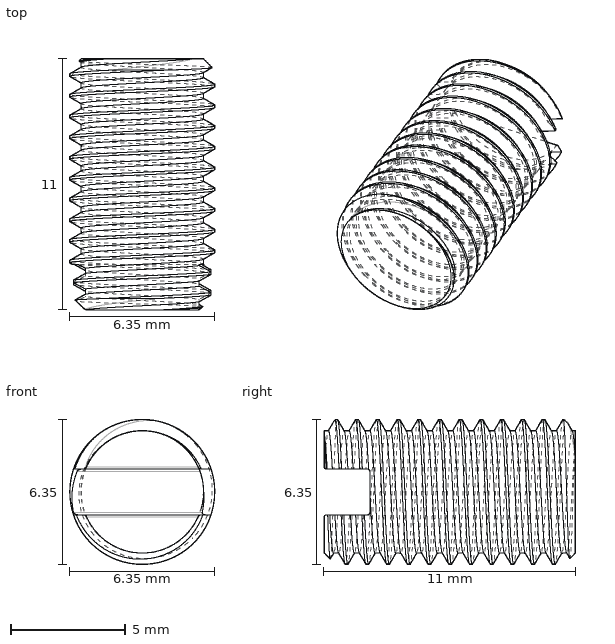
import cadquery as cq
import math

LENGTH = 11.0

INCH = 25.4
MAJOR_RADIUS = INCH / 4 / 2
PITCH = INCH / 28
FLANK_HALF_ANGLE = math.radians(30)
SHARP_V_HEIGHT = PITCH / (2 * math.tan(FLANK_HALF_ANGLE))
THREAD_DEPTH = 5 / 8 * SHARP_V_HEIGHT
MINOR_RADIUS = MAJOR_RADIUS - THREAD_DEPTH
ROOT_WIDTH = PITCH / 4
FIRST_CREST_Y = 0.077

END_CHAMFER = 0.5
END_FACE_RADIUS = MAJOR_RADIUS - END_CHAMFER

GROOVE_CLEARANCE = 0.05
GROOVE_EXTRA_TURNS = 2
BAR_OVERHANG = 4 * PITCH
TRIM_CLEARANCE = 1.0

SLOT_WIDTH = 2.0
SLOT_DEPTH = 2.0
SLOT_FLOOR_FILLET = 0.1
SLOT_MOUTH_FILLET = 0.1


def make_groove():
    """Helical thread groove that runs past both ends of the screw and past the major diameter."""
    outer = MAJOR_RADIUS + GROOVE_CLEARANCE
    outer_half = ROOT_WIDTH / 2 + (outer - MINOR_RADIUS) * math.tan(FLANK_HALF_ANGLE)
    turns = math.ceil(LENGTH / PITCH) + 2 * GROOVE_EXTRA_TURNS

    helix = cq.Wire.makeHelix(PITCH, turns * PITCH, MAJOR_RADIUS)
    groove = (
        cq.Workplane("XZ")
        .moveTo(MINOR_RADIUS, -ROOT_WIDTH / 2)
        .lineTo(outer, -outer_half)
        .lineTo(outer, outer_half)
        .lineTo(MINOR_RADIUS, ROOT_WIDTH / 2)
        .close()
        .sweep(cq.Workplane(obj=helix), isFrenet=True)
        .rotate((0, 0, 0), (0, 0, 1), 90)
        .rotate((0, 0, 0), (1, 0, 0), -90)
    )
    root_y = FIRST_CREST_Y + PITCH / 2
    return groove.translate((0, root_y - GROOVE_EXTRA_TURNS * PITCH, 0))


def make_threaded_rod():
    """Threaded rod cut to length from a longer bar, in which the groove starts and ends."""
    bar_length = LENGTH + 2 * BAR_OVERHANG
    bar = cq.Workplane("XZ", origin=(0, -BAR_OVERHANG, 0)).circle(MAJOR_RADIUS).extrude(-bar_length)
    trim = cq.Workplane("XZ").circle(MAJOR_RADIUS + TRIM_CLEARANCE).extrude(-LENGTH)
    return bar.cut(make_groove()).intersect(trim)


def make_chamfer_cutter():
    """Ring that leaves a 45 degree cone on the end face at Y = 0."""
    outer = MAJOR_RADIUS + TRIM_CLEARANCE
    leg = outer - END_FACE_RADIUS
    return (
        cq.Workplane("XY")
        .moveTo(END_FACE_RADIUS, 0)
        .lineTo(outer, 0)
        .lineTo(outer, leg)
        .close()
        .revolve(360, (0, 0, 0), (0, 1, 0))
    )


def make_slot():
    """Rectangular driver slot with a rounded floor and a rounded mouth."""
    half = SLOT_WIDTH / 2
    mouth_half = half + SLOT_MOUTH_FILLET
    floor_half = half - SLOT_FLOOR_FILLET
    wall_end = SLOT_DEPTH - SLOT_FLOOR_FILLET
    return (
        cq.Workplane("YZ", origin=(-MAJOR_RADIUS, 0, 0))
        .moveTo(0, mouth_half)
        .radiusArc((SLOT_MOUTH_FILLET, half), -SLOT_MOUTH_FILLET)
        .lineTo(wall_end, half)
        .radiusArc((SLOT_DEPTH, floor_half), SLOT_FLOOR_FILLET)
        .lineTo(SLOT_DEPTH, -floor_half)
        .radiusArc((wall_end, -half), SLOT_FLOOR_FILLET)
        .lineTo(SLOT_MOUTH_FILLET, -half)
        .radiusArc((0, -mouth_half), -SLOT_MOUTH_FILLET)
        .close()
        .extrude(2 * MAJOR_RADIUS)
    )


near_chamfer = make_chamfer_cutter()
far_chamfer = near_chamfer.mirror("XZ").translate((0, LENGTH, 0))
result = make_threaded_rod().cut(near_chamfer).cut(far_chamfer).cut(make_slot())